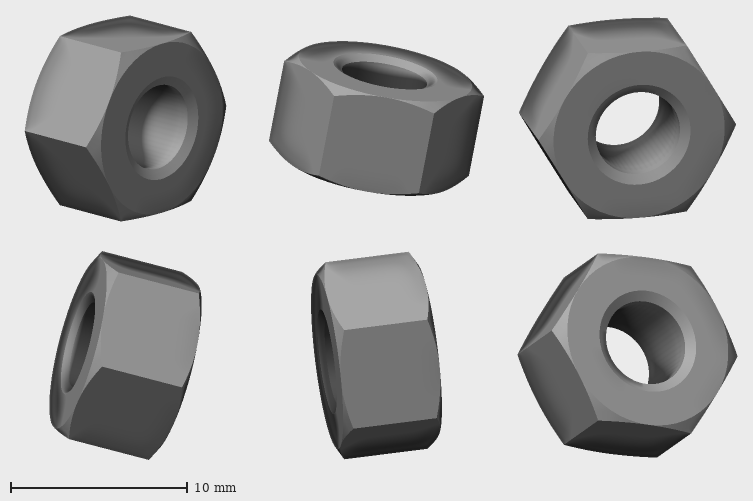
import cadquery as cq
import math

across_corners = 11.55
across_flats = across_corners * math.cos(math.radians(30))
thickness = 5.7
bore_diameter = 4.92
countersink_diameter = 6.01
countersink_angle = 120.0
corner_chamfer_angle = 30.0


def make_hexagon():
    return cq.Workplane("YZ").polygon(6, across_corners).extrude(thickness / 2, both=True)


def revolve_about_x(points):
    """Turn a closed (x, radius) outline around the nut axis."""
    return cq.Workplane("XY").polyline(points).close().revolve(360, (0, 0, 0), (1, 0, 0))


def make_chamfer_envelope():
    """Double cone that bevels the corners, starting at the inscribed circle."""
    half_length = thickness / 2
    face_radius = across_flats / 2
    outer_radius = across_corners / 2 + 0.12
    bevel_length = (outer_radius - face_radius) * math.tan(math.radians(corner_chamfer_angle))
    shoulder = half_length - bevel_length
    return revolve_about_x([
        (-half_length, 0),
        (-half_length, face_radius),
        (-shoulder, outer_radius),
        (shoulder, outer_radius),
        (half_length, face_radius),
        (half_length, 0),
    ])


def make_bore():
    """Through bore with a conical countersink at each end."""
    half_length = thickness / 2
    bore_radius = bore_diameter / 2
    mouth_radius = countersink_diameter / 2
    depth = (mouth_radius - bore_radius) / math.tan(math.radians(countersink_angle / 2))
    return revolve_about_x([
        (-half_length, 0),
        (-half_length, mouth_radius),
        (-half_length + depth, bore_radius),
        (half_length - depth, bore_radius),
        (half_length, mouth_radius),
        (half_length, 0),
    ])


result = make_hexagon().intersect(make_chamfer_envelope()).cut(make_bore())